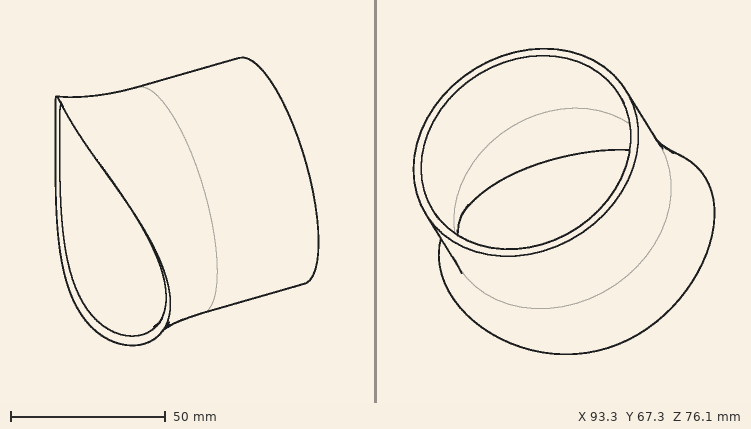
import cadquery as cq
import math

outer_diameter = 76.1
bore_diameter = 70.9
total_length = 67.3
straight_length = 35.8

main_pipe_radius = 69.9
rim_outer_width = 93.3
rim_inner_width = 86.4
flare_bend_angle = math.radians(46)

section_count = 32
points_per_curve = 7
joint_tolerance = 0.001

outer_radius = outer_diameter / 2
bore_radius = bore_diameter / 2
main_pipe_axis_y = -total_length - math.sqrt(main_pipe_radius**2 - outer_radius**2)


def saddle_y(z):
    """Y of the main pipe surface at height z."""
    return main_pipe_axis_y + math.sqrt(main_pipe_radius**2 - z**2)


def flare_points(pipe_radius, rim_half_width, azimuth):
    """Curve at constant height that leaves the pipe along its axis and bends out to the rim.

    The rim is an ellipse seen along the pipe: wider in X, still the pipe radius in Z.
    """
    z = pipe_radius * math.sin(azimuth)
    reach = -straight_length - saddle_y(z)
    points = []
    for i in range(points_per_curve):
        bend = flare_bend_angle * i / (points_per_curve - 1)
        along = math.sin(bend) / math.sin(flare_bend_angle)
        outward = (1 - math.cos(bend)) / (1 - math.cos(flare_bend_angle))
        half_width = pipe_radius + (rim_half_width - pipe_radius) * outward
        points.append(cq.Vector(half_width * math.cos(azimuth), -straight_length - reach * along, z))
    return points


def flare_section(azimuth):
    """Closed outline of the flare wall at one azimuth around the pipe."""
    outer = flare_points(outer_radius, rim_outer_width / 2, azimuth)
    inner = flare_points(bore_radius, rim_inner_width / 2, azimuth)
    return cq.Wire.assembleEdges(
        [
            cq.Edge.makeSpline(outer),
            cq.Edge.makeLine(outer[-1], inner[-1]),
            cq.Edge.makeSpline(inner[::-1]),
            cq.Edge.makeLine(inner[0], outer[0]),
        ]
    )


def make_flare():
    """Flare wall lofted once around the pipe, back to the section it starts from."""
    sections = [flare_section(2 * math.pi * i / section_count) for i in range(section_count)]
    return cq.Workplane(cq.Solid.makeLoft(sections + sections[:1]))


def make_straight_pipe():
    """Plain tube from the square-cut end to the start of the flare."""
    return cq.Workplane("XZ").circle(outer_radius).circle(bore_radius).extrude(straight_length)


body = make_straight_pipe().union(make_flare(), tol=joint_tolerance)
result = cq.Workplane(body.solids().val())